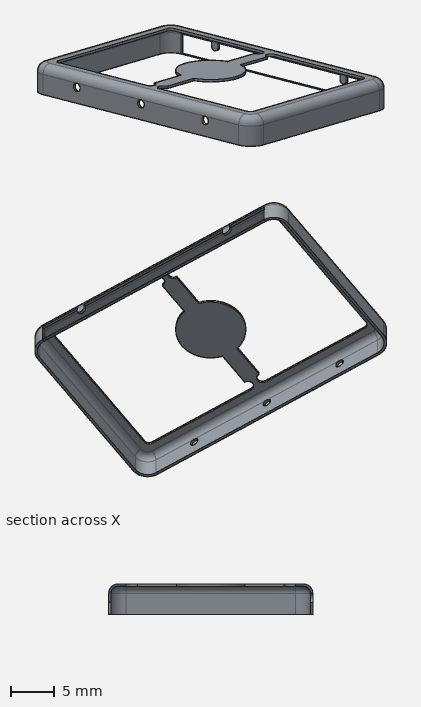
import cadquery as cq

LENGTH = 34.5
WIDTH = 23.3
HEIGHT = 3.5
CORNER_RADIUS = 2.0
TOP_FILLET = 1.1

WALL = 0.3

RIM = CORNER_RADIUS
OPENING_LENGTH = LENGTH - 2 * RIM
OPENING_WIDTH = WIDTH - 2 * RIM
OPENING_RADIUS = 0.6

DISC_DIAMETER = 8.0
SPOKE_WIDTH = 2.0
NOTCH_RADIUS = 0.65
NOTCH_Y = 9.0

HOLE_DIAMETER = 1.0
HOLE_PITCH = 10.0
HOLE_COUNT = 3
HOLE_Z = HEIGHT - TOP_FILLET - HOLE_DIAMETER / 2

WINDOW_LENGTH = LENGTH - 2 * CORNER_RADIUS
SILL_HEIGHT = 0.05
WINDOW_TOP = HEIGHT - TOP_FILLET
TONGUE_WIDTH = HOLE_DIAMETER
TONGUE_XS = (-HOLE_PITCH, HOLE_PITCH)


def rounded_block(length, width, height, radius):
    """Block standing on Z = 0 with rounded vertical edges."""
    return cq.Workplane("XY").rect(length, width).extrude(height).edges("|Z").fillet(radius)


def domed_block(inset):
    """Outer form with a rounded top edge, shrunk by an even inset on its sides and top."""
    block = rounded_block(LENGTH - 2 * inset, WIDTH - 2 * inset, HEIGHT - inset, CORNER_RADIUS - inset)
    return block.faces(">Z").edges().fillet(TOP_FILLET - inset)


def make_shell():
    """Open-bottomed tray of even wall thickness."""
    return domed_block(0).cut(domed_block(WALL))


def make_opening():
    """Cutter for the roof opening."""
    return rounded_block(OPENING_LENGTH, OPENING_WIDTH, HEIGHT, OPENING_RADIUS)


def make_disc_and_spokes():
    """Disc at roof level with a spoke to each long side, necked at the rim."""
    roof_plane = cq.Workplane("XY").workplane(offset=HEIGHT - WALL)
    disc = roof_plane.circle(DISC_DIAMETER / 2).extrude(WALL)
    spokes = roof_plane.rect(SPOKE_WIDTH, OPENING_WIDTH).extrude(WALL)
    return disc.union(spokes)


def make_notches():
    """Cutter for the four round notches that neck the spokes at the rim."""
    roof_plane = cq.Workplane("XY").workplane(offset=HEIGHT - WALL)
    corners = roof_plane.rect(SPOKE_WIDTH, 2 * NOTCH_Y, forConstruction=True).vertices()
    notches = corners.circle(NOTCH_RADIUS).extrude(WALL)
    return notches.intersect(make_opening())


def make_wall_holes():
    """Cutter for the row of holes through the -Y wall."""
    row = cq.Workplane("XZ", origin=(0, -WIDTH / 2 + WALL, HOLE_Z))
    return row.rarray(HOLE_PITCH, 1, HOLE_COUNT, 1).circle(HOLE_DIAMETER / 2).extrude(WALL)


def make_window():
    """Cutter for the +Y wall window, leaving the tongues standing."""
    wall_plane = cq.Workplane("XZ", origin=(0, WIDTH / 2, 0))
    height = WINDOW_TOP - SILL_HEIGHT
    window = wall_plane.center(0, SILL_HEIGHT + height / 2).rect(WINDOW_LENGTH, height).extrude(WALL)
    root_height = WINDOW_TOP - HOLE_Z
    for x in TONGUE_XS:
        tip = wall_plane.center(x, HOLE_Z).circle(TONGUE_WIDTH / 2).extrude(WALL)
        root = wall_plane.center(x, HOLE_Z + root_height / 2).rect(TONGUE_WIDTH, root_height).extrude(WALL)
        window = window.cut(tip).cut(root)
    return window


frame = make_shell().cut(make_opening())
frame = frame.union(make_disc_and_spokes()).cut(make_notches())
result = frame.cut(make_wall_holes()).cut(make_window())